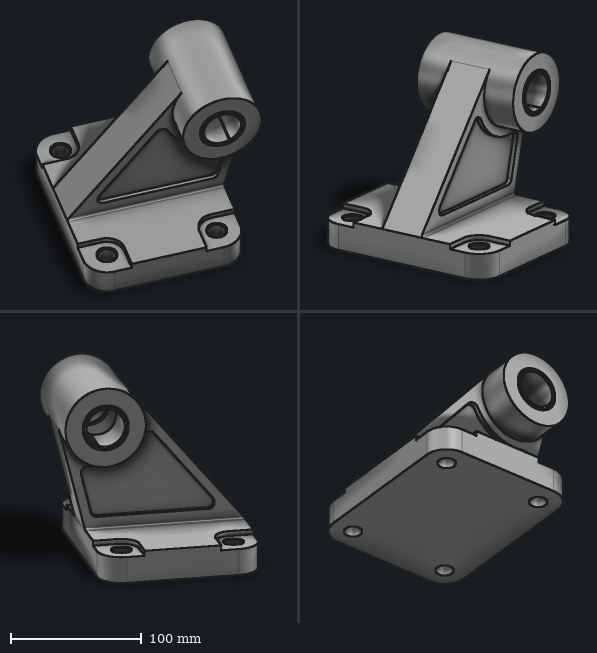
import cadquery as cq
import math

plate_x = 156.0
plate_y = 126.0
plate_top = 25.0
corner_inset = 19.0
bolt_hole_d = 14.0
edge_break = 1.0
seat_size = 33.0
seat_depth = 4.0

barrel_length = 90.0
barrel_r = 31.5
barrel_y = 53.0
barrel_z = 115.0

web_thickness = 36.0
web_fillet = 2.0

recess_margin = 8.0
recess_depth = 4.0
recess_corner_r = 5.0

bushing_od = 34.0
bushing_id = 30.0
bushing_length = 30.0
joint_gap = 0.5
joint_angle = 22.0


def tangent_point(y, z):
    """Point where a line from (y, z) touches the barrel, on the side of that line's own plate edge."""
    dy = barrel_y - y
    dz = barrel_z - z
    distance = math.hypot(dy, dz)
    side = math.copysign(1, y)
    direction = math.atan2(dz, dy) - side * math.asin(barrel_r / distance)
    reach = math.sqrt(distance**2 - barrel_r**2)
    return (y + reach * math.cos(direction), z + reach * math.sin(direction))


def web_profile():
    """Web outline in the YZ plane: plate edges to the barrel tangents, closed through the barrel axis."""
    half = plate_y / 2
    return [
        (-half, plate_top),
        (half, plate_top),
        tangent_point(half, plate_top),
        (barrel_y, barrel_z),
        tangent_point(-half, plate_top),
    ]


def make_barrel():
    return (
        cq.Workplane("YZ", origin=(-barrel_length / 2, barrel_y, barrel_z))
        .circle(barrel_r)
        .extrude(barrel_length)
    )


def make_plate():
    plate = (
        cq.Workplane("XY")
        .rect(plate_x, plate_y)
        .extrude(plate_top)
        .edges("|Z")
        .fillet(corner_inset)
    )
    seat_corner_r = seat_size - corner_inset
    for sx in (-1, 1):
        for sy in (-1, 1):
            seat = (
                cq.Workplane("XY", origin=(sx * plate_x / 2, sy * plate_y / 2, plate_top - seat_depth))
                .rect(2 * seat_size, 2 * seat_size)
                .extrude(seat_depth)
                .edges("|Z")
                .fillet(seat_corner_r)
            )
            plate = plate.cut(seat)
    return plate


def drill_bolt_holes(plate):
    """Four through holes, chamfered where they meet the lowered seats."""
    return (
        plate.copyWorkplane(cq.Workplane("XY", origin=(0, 0, plate_top - seat_depth)))
        .rect(plate_x - 2 * corner_inset, plate_y - 2 * corner_inset, forConstruction=True)
        .vertices()
        .cskHole(bolt_hole_d, bolt_hole_d + 2 * edge_break, 90)
    )


def make_recess():
    """Cutter for one web recess, standing on the YZ plane and rising along +X."""
    recess_bottom_z = plate_top + web_fillet + recess_margin
    inset = (
        cq.Workplane("YZ")
        .polyline(web_profile())
        .close()
        .offset2D(-recess_margin)
        .extrude(recess_depth)
    )
    below = (
        cq.Workplane("YZ")
        .center(0, recess_bottom_z - plate_y / 2)
        .rect(2 * plate_y, plate_y)
        .extrude(recess_depth)
    )
    around_barrel = (
        cq.Workplane("YZ")
        .center(barrel_y, barrel_z)
        .circle(barrel_r + recess_margin)
        .extrude(recess_depth)
    )
    return inset.cut(below).cut(around_barrel).edges("|X").fillet(recess_corner_r)


def make_web(thickness):
    return (
        cq.Workplane("YZ", origin=(-thickness / 2, 0, 0))
        .polyline(web_profile())
        .close()
        .extrude(thickness)
    )


def make_web_fillets():
    """Concave fillets along both sides of the web's foot, trimmed by the web's sloping edges."""
    foot_x = web_thickness / 2 + web_fillet
    strip = (
        cq.Workplane("XZ", origin=(0, plate_y / 2, plate_top + web_fillet / 2))
        .rect(2 * foot_x, web_fillet)
        .extrude(plate_y)
    )
    hollows = (
        cq.Workplane("XZ", origin=(0, plate_y / 2, plate_top + web_fillet))
        .pushPoints([(-foot_x, 0), (foot_x, 0)])
        .circle(web_fillet)
        .extrude(plate_y)
    )
    return strip.cut(hollows).intersect(make_web(2 * foot_x))


def make_bore():
    """Cutter for the bore: a round bar that flares into a chamfer at both ends."""
    end = barrel_length / 2
    radius = bushing_od / 2
    return (
        cq.Workplane("XY")
        .moveTo(-end, 0)
        .lineTo(-end, radius + edge_break)
        .lineTo(-end + edge_break, radius)
        .lineTo(end - edge_break, radius)
        .lineTo(end, radius + edge_break)
        .lineTo(end, 0)
        .close()
        .revolve(360, (0, 0, 0), (1, 0, 0))
        .translate((0, barrel_y, barrel_z))
    )


def make_bracket():
    plate = drill_bolt_holes(make_plate())
    web = make_web(web_thickness)
    recess = make_recess().translate((web_thickness / 2 - recess_depth, 0, 0))
    web = web.cut(recess).cut(recess.mirror("YZ"))
    return plate.union(web).union(make_web_fillets()).union(make_barrel()).cut(make_bore())


def make_bushing(start_x):
    """Rolled sleeve from start_x along +X, left open at its axial joint."""
    joint_half_angle = math.degrees(math.asin(joint_gap / bushing_od))
    sleeve = (
        cq.Workplane("XY")
        .moveTo(start_x, bushing_id / 2)
        .lineTo(start_x, bushing_od / 2)
        .lineTo(start_x + bushing_length, bushing_od / 2)
        .lineTo(start_x + bushing_length, bushing_id / 2)
        .close()
        .revolve(360 - 2 * joint_half_angle, (0, 0, 0), (1, 0, 0))
    )
    turn = joint_angle - 90 + joint_half_angle
    return sleeve.rotate((0, 0, 0), (1, 0, 0), turn).translate((0, barrel_y, barrel_z))


bracket = make_bracket()
bushing_starts = [-barrel_length / 2, barrel_length / 2 - bushing_length]
bushings = [make_bushing(start_x) for start_x in bushing_starts]
result = cq.Compound.makeCompound([bracket.val(), *[bushing.val() for bushing in bushings]])